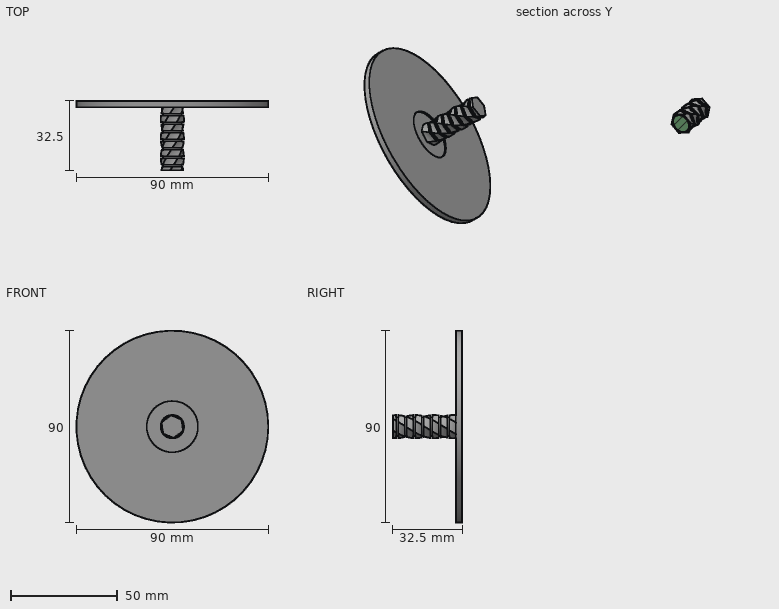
import cadquery as cq

disc_diameter = 90.0
disc_thickness = 3.0
recess_diameter = 24.0
recess_depth = 0.7

overall_depth = 32.5
hex_corner_diameter = 11.0
hex_start_angle = 16.5
hex_twist_angle = 204.5

groove_diameter = 8.8
groove_width = 1.0
groove_count = 7
groove_span = 23.9
groove_pitch = groove_span / (groove_count - 1)
first_groove_offset = 3.0

recess_floor = disc_thickness - recess_depth
shaft_length = overall_depth - recess_floor


def plane_at(depth):
    """Workplane facing -Y, at the given distance in front of the back face."""
    return cq.Workplane("XZ", origin=(0, -depth, 0))


def make_disc():
    disc = plane_at(0).circle(disc_diameter / 2).extrude(disc_thickness)
    recess = plane_at(recess_floor).circle(recess_diameter / 2).extrude(recess_depth)
    return disc.cut(recess)


def make_twisted_hexagon():
    return (
        plane_at(recess_floor)
        .transformed(rotate=(0, 0, hex_start_angle))
        .polygon(6, hex_corner_diameter)
        .twistExtrude(shaft_length, hex_twist_angle)
    )


def make_groove_ring(index):
    groove_start = disc_thickness + first_groove_offset + index * groove_pitch
    return (
        plane_at(groove_start)
        .circle(hex_corner_diameter)
        .circle(groove_diameter / 2)
        .extrude(groove_width)
    )


shaft = make_twisted_hexagon()
for index in range(groove_count):
    shaft = shaft.cut(make_groove_ring(index))

result = make_disc().union(shaft)